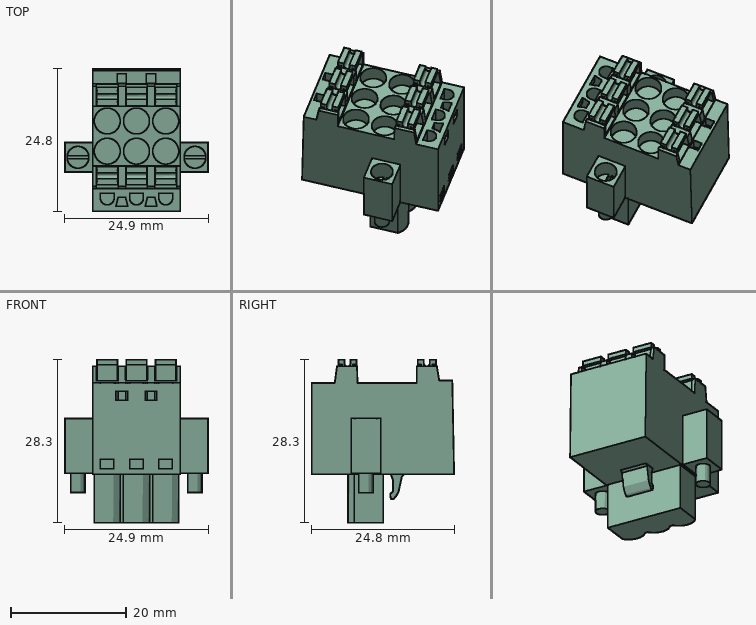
import cadquery as cq


pitch = 5.08
pole_count = 3
pole_xs = [(i - (pole_count - 1) / 2) * pitch for i in range(pole_count)]
gap_xs = [(a + b) / 2 for a, b in zip(pole_xs, pole_xs[1:])]

body_width = pole_count * pitch
front_y = -9.41
back_y = 15.34
back_top_y = 15.03
deck_z = 15.92
back_shelf_z = 16.35

ridge_top_z = 18.82
front_ridge_outer = (-5.43, -5.03)
front_ridge_inner = (-1.43, -1.53)
back_ridge_inner = 8.83
back_ridge_outer = (12.74, 12.34)

notch_width = 3.8
front_notch_floor_z = 16.3
back_notch_floor_z = 16.45
button_width = 3.62
front_button_y = -3.2
back_button_y = 10.58
button_top_z = 19.93
head_depth = 3.2
head_bottom_z = 19.06
stem_depth = 1.94
button_slot_width = 1.0
button_slot_centre_z = 19.27

deck_hole_diameter = 4.5
deck_hole_ys = [1.06, 6.3]
deck_hole_depth = 2.7

entry_width = 2.4
entry_back_y = -6.26
entry_front_y = -8.26
entry_depth = 5.0

shaft_back_y = -6.98
shaft_front_y = -8.48
shaft_back_width = 1.3
window_width = 2.04
window_top_z = 14.42
window_bottom_z = 12.87

shelf_pocket_size = 1.6
shelf_pocket_y = 13.69
shelf_pocket_depth = 2.0

recess_width = 2.34
recess_bottom_z = 1.0
recess_top_z = 2.6
recess_depth = 0.25

plug_height = 8.4
plug_back_y = 3.02
plug_web_y = -2.04
plug_front_y = -3.14
lobe_width = 4.54

latch_width = pitch

overall_width = 24.86
flange_depth = 5.16
flange_bottom_z = 0.2
flange_top_z = 9.74
screw_x = 2 * pitch

screw_head_diameter = 3.8
screw_head_height = 2.0
screw_head_recess = 3.5
screw_shank_diameter = 2.52
screw_tip_z = -3.17
screw_slot_width = 0.57
screw_slot_depth = 0.6


def block(x_range, y_range, z_range):
    """Box spanning the given (low, high) ranges."""
    spans = [high - low for low, high in (x_range, y_range, z_range)]
    corner = (x_range[0], y_range[0], z_range[0])
    return cq.Workplane("XY").box(*spans, centered=False).translate(corner)


def centred_range(centre, size):
    return (centre - size / 2, centre + size / 2)


def extrude_along_x(side_outline, width):
    """Extrude a closed YZ outline, centred on X = 0."""
    return side_outline.extrude(width / 2, both=True)


def housing_block():
    outline = (
        cq.Workplane("YZ")
        .polyline([
            (front_y, 0),
            (front_y, deck_z),
            (front_ridge_outer[0], deck_z),
            (front_ridge_outer[1], ridge_top_z),
            (front_ridge_inner[1], ridge_top_z),
            (front_ridge_inner[0], deck_z),
            (back_ridge_inner, deck_z),
            (back_ridge_inner, ridge_top_z),
            (back_ridge_outer[1], ridge_top_z),
            (back_ridge_outer[0], back_shelf_z),
            (back_top_y, back_shelf_z),
            (back_y, 0),
        ])
        .close()
    )
    return extrude_along_x(outline, body_width)


def flanges():
    """One bar through the housing, whose ends form both flanges."""
    return block(
        centred_range(0, overall_width),
        centred_range(0, flange_depth),
        (flange_bottom_z, flange_top_z),
    )


def plug():
    """Plug with a flat back and one bowed lobe per pole on its front."""
    half_lobe = lobe_width / 2
    first_x = pole_xs[0] - half_lobe
    last_x = pole_xs[-1] + half_lobe
    outline = cq.Workplane("XY").moveTo(first_x, plug_back_y)
    for x in pole_xs:
        outline = outline.lineTo(x - half_lobe, plug_web_y)
        outline = outline.threePointArc((x, plug_front_y), (x + half_lobe, plug_web_y))
    return outline.lineTo(last_x, plug_back_y).close().extrude(-plug_height)


def latch():
    """Hook that hangs from the underside behind the plug."""
    outline = (
        cq.Workplane("YZ")
        .moveTo(4.32, 0)
        .lineTo(6.62, 0)
        .lineTo(6.26, -0.39)
        .lineTo(5.72, -2.87)
        .threePointArc((5.38, -3.58), (4.88, -4.2))
        .threePointArc((4.56, -4.32), (4.32, -4.15))
        .lineTo(4.22, -3.8)
        .lineTo(4.22, -3.35)
        .lineTo(4.67, -3.0)
        .lineTo(4.67, -1.0)
        .close()
    )
    return extrude_along_x(outline, latch_width)


def button_notch(x, ridge, floor_z):
    """Gap through a ridge, from its front face to its back face."""
    return block(centred_range(x, notch_width), ridge, (floor_z, ridge_top_z))


def deck_holes():
    return (
        cq.Workplane("XY", origin=(0, 0, deck_z))
        .pushPoints([(x, y) for x in pole_xs for y in deck_hole_ys])
        .circle(deck_hole_diameter / 2)
        .extrude(-deck_hole_depth)
    )


def wire_entry(x):
    radius = entry_width / 2
    arc_y = entry_front_y + radius
    return (
        cq.Workplane("XY", origin=(x, 0, deck_z))
        .moveTo(-radius, entry_back_y)
        .lineTo(-radius, arc_y)
        .threePointArc((0, entry_front_y), (radius, arc_y))
        .lineTo(radius, entry_back_y)
        .close()
        .extrude(-entry_depth)
    )


def tapered_shaft(x):
    """Vertical shaft, wider toward the front, plus its window in the front face."""
    shaft = (
        cq.Workplane("XY", origin=(x, 0, window_bottom_z))
        .polyline([
            (-window_width / 2, shaft_front_y),
            (window_width / 2, shaft_front_y),
            (shaft_back_width / 2, shaft_back_y),
            (-shaft_back_width / 2, shaft_back_y),
        ])
        .close()
        .extrude(deck_z - window_bottom_z)
    )
    window = block(
        centred_range(x, window_width),
        (front_y, shaft_front_y),
        (window_bottom_z, window_top_z),
    )
    return shaft.union(window)


def shelf_pocket(x):
    return block(
        centred_range(x, shelf_pocket_size),
        centred_range(shelf_pocket_y, shelf_pocket_size),
        (back_shelf_z - shelf_pocket_depth, back_shelf_z),
    )


def front_recess(x):
    return block(
        centred_range(x, recess_width),
        (front_y, front_y + recess_depth),
        (recess_bottom_z, recess_top_z),
    )


def screw_bore(x):
    """Head bore from the top of the flange and a shank hole below it."""
    head_seat_z = flange_top_z - screw_head_recess - screw_head_height
    bore = (
        cq.Workplane("XY", origin=(x, 0, head_seat_z))
        .circle(screw_head_diameter / 2)
        .extrude(flange_top_z - head_seat_z)
    )
    shank_hole = (
        cq.Workplane("XY", origin=(x, 0, flange_bottom_z))
        .circle(screw_shank_diameter / 2)
        .extrude(head_seat_z - flange_bottom_z)
    )
    return bore.union(shank_hole)


def make_housing():
    body = housing_block().union(flanges()).union(plug()).union(latch())
    body = body.cut(deck_holes())
    front_ridge = (front_ridge_outer[0], front_ridge_inner[0])
    back_ridge = (back_ridge_inner, back_ridge_outer[0])
    for x in pole_xs:
        body = body.cut(button_notch(x, front_ridge, front_notch_floor_z))
        body = body.cut(button_notch(x, back_ridge, back_notch_floor_z))
        body = body.cut(wire_entry(x)).cut(front_recess(x))
    for x in gap_xs:
        body = body.cut(tapered_shaft(x)).cut(shelf_pocket(x))
    for x in (-screw_x, screw_x):
        body = body.cut(screw_bore(x))
    return body


def make_button(x, y, floor_z):
    """T-shaped button standing on the notch floor, with a round-bottomed slot on top."""
    x_range = centred_range(x, button_width)
    stem = block(x_range, centred_range(y, stem_depth), (floor_z, head_bottom_z))
    head = block(x_range, centred_range(y, head_depth), (head_bottom_z, button_top_z))
    slot = block(
        x_range,
        centred_range(y, button_slot_width),
        (button_slot_centre_z, button_top_z),
    )
    slot_bottom = (
        cq.Workplane("YZ", origin=(x_range[0], y, button_slot_centre_z))
        .circle(button_slot_width / 2)
        .extrude(button_width)
    )
    return stem.union(head).cut(slot).cut(slot_bottom)


def make_screw(x):
    head_top_z = flange_top_z - screw_head_recess
    head_seat_z = head_top_z - screw_head_height
    head = (
        cq.Workplane("XY", origin=(x, 0, head_seat_z))
        .circle(screw_head_diameter / 2)
        .extrude(screw_head_height)
    )
    shank = (
        cq.Workplane("XY", origin=(x, 0, screw_tip_z))
        .circle(screw_shank_diameter / 2)
        .extrude(head_seat_z - screw_tip_z)
    )
    slot = block(
        centred_range(x, screw_head_diameter),
        centred_range(0, screw_slot_width),
        (head_top_z - screw_slot_depth, head_top_z),
    )
    return head.union(shank).cut(slot)


housing = make_housing()
front_buttons = [make_button(x, front_button_y, front_notch_floor_z) for x in pole_xs]
back_buttons = [make_button(x, back_button_y, back_notch_floor_z) for x in pole_xs]
screws = [make_screw(x) for x in (-screw_x, screw_x)]

bodies = [housing] + front_buttons + back_buttons + screws
result = cq.Compound.makeCompound([body.val() for body in bodies])